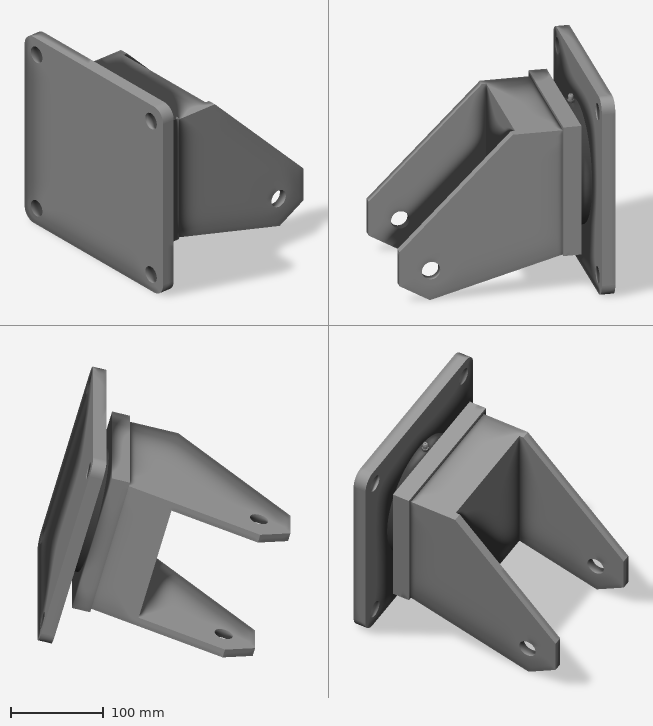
import cadquery as cq
import math

plate_side = 230.0
plate_thickness = 15.0
plate_corner_radius = 15.0
bolt_hole_diameter = 19.0
bolt_spacing = 190.0

boss_diameter = 138.0
boss_length = 15.0
boss_end_y = plate_thickness + boss_length

flange_width = 165.0
flange_height = 150.0
flange_thickness = 20.0
flange_end_y = boss_end_y + flange_thickness

bracket_width = 156.0
arm_thickness = 10.0
arm_top_z = 70.0
arm_slope_start_y = 104.9
arm_end_y = plate_side
arm_end_top_z = -55.5
arm_end_bottom_z = -95.0
arm_tip_y = 196.5
arm_tip_z = -114.3
web_end_y = 100.0
pin_hole_diameter = 20.2
pin_hole_y = 195.0
pin_hole_z = -80.0

nipple_y = plate_thickness + boss_length / 2
hex_across_flats = 7.0
hex_top_z = 71.8
nipple_top_z = 78.0
nipple_diameter = 6.0
neck_diameter = 5.0
tip_diameter = 4.5
neck_top_z = 74.8
collar_top_z = 76.1
nipple_port_diameter = 1.4
nipple_port_depth = 1.2


def cylinder_along_y(diameter, start_y, end_y):
    """Cylinder on the swivel axis between two Y positions."""
    return cq.Workplane("XZ", origin=(0, start_y, 0)).circle(diameter / 2).extrude(start_y - end_y)


def make_mounting_plate():
    """Rounded square plate with four bolt holes and the round boss."""
    plate = (
        cq.Workplane("XZ")
        .rect(plate_side, plate_side)
        .extrude(-plate_thickness)
        .edges("|Y")
        .fillet(plate_corner_radius)
    )
    bolt_holes = (
        cq.Workplane("XZ")
        .rect(bolt_spacing, bolt_spacing, forConstruction=True)
        .vertices()
        .circle(bolt_hole_diameter / 2)
        .extrude(-plate_thickness)
    )
    boss = cylinder_along_y(boss_diameter, plate_thickness, boss_end_y)
    return plate.cut(bolt_holes).union(boss)


def make_bracket():
    """Flange with two arms, a web between them and a cross hole for a pin."""
    flange = (
        cq.Workplane("XZ", origin=(0, boss_end_y, 0))
        .rect(flange_width, flange_height)
        .extrude(-flange_thickness)
    )
    side_outline = [
        (flange_end_y, arm_top_z),
        (arm_slope_start_y, arm_top_z),
        (arm_end_y, arm_end_top_z),
        (arm_end_y, arm_end_bottom_z),
        (arm_tip_y, arm_tip_z),
        (flange_end_y, -flange_height / 2),
    ]
    arms = cq.Workplane("YZ").polyline(side_outline).close().extrude(bracket_width / 2, both=True)
    slot = cq.Workplane("XY").box(
        bracket_width - 2 * arm_thickness,
        arm_end_y - web_end_y,
        plate_side,
        centered=(True, False, True),
    ).translate((0, web_end_y, 0))
    pin_hole = (
        cq.Workplane("YZ")
        .center(pin_hole_y, pin_hole_z)
        .circle(pin_hole_diameter / 2)
        .extrude(bracket_width / 2, both=True)
    )
    return flange.union(arms.cut(slot).cut(pin_hole))


def make_grease_nipple():
    """Hexagon seated on the boss, with a turned and grooved head above it."""
    axis_plane = cq.Workplane("XY", origin=(0, nipple_y, 0))
    hex_across_corners = hex_across_flats / math.cos(math.pi / 6)
    hexagon = axis_plane.polygon(6, hex_across_corners).extrude(hex_top_z)
    hexagon = hexagon.cut(cylinder_along_y(boss_diameter, 0, flange_end_y))
    head_outline = [
        (0, hex_top_z),
        (neck_diameter / 2, hex_top_z),
        (neck_diameter / 2, neck_top_z),
        (nipple_diameter / 2, neck_top_z),
        (nipple_diameter / 2, collar_top_z),
        (tip_diameter / 2, nipple_top_z),
        (0, nipple_top_z),
    ]
    head = (
        cq.Workplane("XZ")
        .polyline(head_outline)
        .close()
        .revolve(360, (0, 0), (0, 1))
        .translate((0, nipple_y, 0))
    )
    port = (
        axis_plane.workplane(offset=nipple_top_z - nipple_port_depth)
        .circle(nipple_port_diameter / 2)
        .extrude(nipple_port_depth)
    )
    return hexagon.union(head).cut(port)


mounting_plate = make_mounting_plate()
bracket = make_bracket()
grease_nipple = make_grease_nipple()

result = cq.Compound.makeCompound([mounting_plate.val(), bracket.val(), grease_nipple.val()])